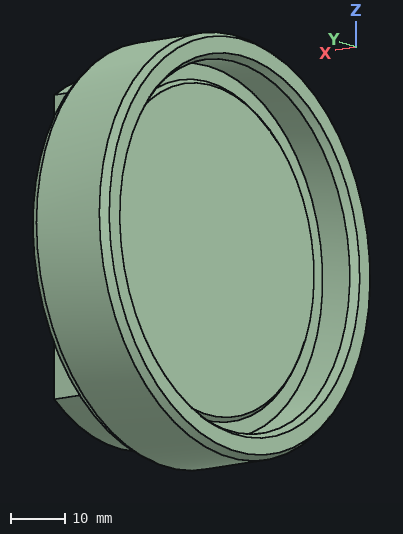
import cadquery as cq
import math

rim_diameter = 80.0
rim_width = 18.0
boss_length = 10.0
boss_diameter = 70.0
boss_across_flats = 40.0

bevel_slope = math.tan(math.radians(30))
rim_bevel_length = 1.6
rim_bevel_depth = rim_bevel_length * bevel_slope

pocket_diameter = 70.0
pocket_depth = 8.0

pad_diameter = 64.0
pad_height = 1.0
pad_edge_inset = 0.8


def disc(diameter, start, length):
    """Cylinder about the X axis, running from X = start."""
    return cq.Workplane("YZ", origin=(start, 0, 0)).circle(diameter / 2).extrude(length)


def cone(start_radius, end_radius, start, length):
    """Truncated cone about the X axis, running from X = start."""
    origin = cq.Vector(start, 0, 0)
    axis = cq.Vector(1, 0, 0)
    return cq.Workplane("XY").add(cq.Solid.makeCone(start_radius, end_radius, length, origin, axis))


def make_rim():
    radius = rim_diameter / 2
    bevel_radius = radius - rim_bevel_depth
    middle_length = rim_width - 2 * rim_bevel_length
    front_bevel = cone(bevel_radius, radius, 0, rim_bevel_length)
    middle = disc(rim_diameter, rim_bevel_length, middle_length)
    back_bevel = cone(radius, bevel_radius, rim_width - rim_bevel_length, rim_bevel_length)
    return front_bevel.union(middle).union(back_bevel)


def make_boss():
    """Round boss with two flats facing -Y and +Y."""
    flats = cq.Workplane("XY").box(boss_length, boss_across_flats, boss_diameter)
    flats = flats.translate((rim_width + boss_length / 2, 0, 0))
    return disc(boss_diameter, rim_width, boss_length).intersect(flats)


def make_pocket():
    """Round pocket with a bevelled mouth."""
    radius = pocket_diameter / 2
    mouth = cone(radius + rim_bevel_depth, radius, 0, rim_bevel_length)
    return disc(pocket_diameter, 0, pocket_depth).union(mouth)


def make_pad():
    """Low tapered pad on the pocket floor."""
    base_radius = pad_diameter / 2
    top_radius = base_radius - pad_edge_inset
    return cone(top_radius, base_radius, pocket_depth - pad_height, pad_height)


result = make_rim().union(make_boss()).cut(make_pocket()).union(make_pad())